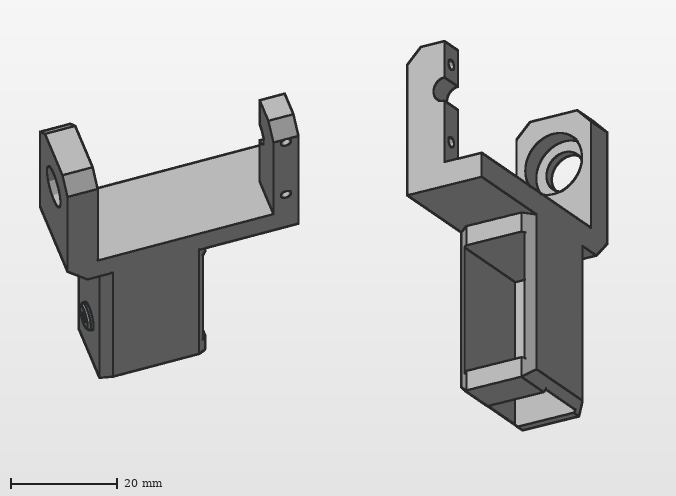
import cadquery as cq

width = 16.4
depth = 45.9
height = 64.0
front_y = -depth / 2
back_y = depth / 2

plate_thickness = 5.0
plate_bottom = 34.0
plate_top = plate_bottom + plate_thickness
plate_front_chamfer = 4.0
lug_thickness = 6.0
post_thickness = 5.0
upright_chamfer = 3.0
lug_inner_y = front_y + lug_thickness

pivot_z = 54.1
lug_hole_diameter = 8.0
lug_recess_diameter = 12.5
lug_recess_depth = 4.0
post_notch_diameter = 4.8
post_hole_diameter = 2.0
post_hole_spacing = 16.0
post_hole_mid_z = 52.0

handle_front_y = -15.95
handle_back_y = 5.2
handle_chamfer = 2.0
handle_back_chamfer = 2.3
cavity_width = 13.3
cavity_front_y = handle_front_y + handle_chamfer
cavity_bottom = 4.0
cavity_top = 30.0
bottom_opening_back_y = -3.0

button_z = 11.5
button_diameter = 5.5
button_length = 1.0
button_chamfer = 0.5
button_hole_diameter = 1.8


def block(x_range, y_range, z_range):
    """Box between the given limits along each axis."""
    limits = (x_range, y_range, z_range)
    sizes = [high - low for low, high in limits]
    corner = tuple(low for low, high in limits)
    return cq.Workplane("XY").box(*sizes, centered=False).translate(corner)


def cylinder_y(diameter, start_y, length, z):
    """Cylinder on the X = 0 plane, running from start_y toward +Y."""
    base = cq.Workplane("XZ", origin=(0, start_y, z))
    return base.circle(diameter / 2).extrude(-length)


full_width = (-width / 2, width / 2)


def make_plate():
    plate = block(full_width, (front_y, back_y), (plate_bottom, plate_top))
    return plate.edges("<Y and <Z").chamfer(plate_front_chamfer)


def make_lug():
    lug = block(full_width, (front_y, lug_inner_y), (plate_top, height))
    lug = lug.edges("|Y and >Z").chamfer(upright_chamfer)
    lug = lug.cut(cylinder_y(lug_hole_diameter, front_y, lug_thickness, pivot_z))
    recess_start = lug_inner_y - lug_recess_depth
    return lug.cut(cylinder_y(lug_recess_diameter, recess_start, lug_recess_depth, pivot_z))


def make_post():
    """Half-width upright with a half-round notch and two cross holes."""
    post_front_y = back_y - post_thickness
    post = block((0, width / 2), (post_front_y, back_y), (plate_top, height))
    post = post.edges("|Y and >Z and >X").chamfer(upright_chamfer)
    post = post.cut(cylinder_y(post_notch_diameter, post_front_y, post_thickness, pivot_z))
    for side in (-1, 1):
        hole_z = post_hole_mid_z + side * post_hole_spacing / 2
        hole = cq.Workplane("YZ", origin=(0, back_y - post_thickness / 2, hole_z))
        post = post.cut(hole.circle(post_hole_diameter / 2).extrude(width / 2))
    return post


def make_handle():
    handle = block(full_width, (handle_front_y, handle_back_y), (0, plate_bottom))
    handle = handle.edges("|Z and <Y").chamfer(handle_chamfer)
    handle = handle.edges("|Z and >Y").chamfer(handle_back_chamfer, handle_chamfer)
    bottom_sides = handle.faces("<Z").edges("<X or >X")
    return bottom_sides.chamfer(handle_chamfer)


def make_button():
    button = cylinder_y(button_diameter, handle_front_y - button_length, button_length, button_z)
    return button.faces("<Y").chamfer(button_chamfer)


def make_cavity():
    """Chamber open at the back, with a smaller opening through the bottom."""
    cavity_x = (-cavity_width / 2, cavity_width / 2)
    chamber = block(cavity_x, (cavity_front_y, handle_back_y), (cavity_bottom, cavity_top))
    opening = block(cavity_x, (cavity_front_y, bottom_opening_back_y), (0, cavity_bottom))
    return chamber.union(opening)


def make_button_hole():
    start_y = handle_front_y - button_length
    return cylinder_y(button_hole_diameter, start_y, cavity_front_y - start_y, button_z)


result = make_plate().union(make_lug()).union(make_post())
result = result.union(make_handle()).union(make_button())
result = result.cut(make_cavity()).cut(make_button_hole())